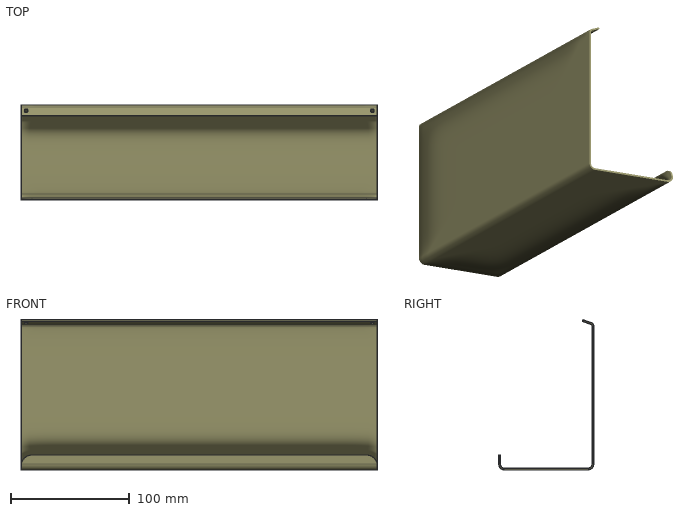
import cadquery as cq
import math

length = 300.0
depth = 80.0
height = 126.5

thickness = 1.5
bend_radius = 5.0

lip_height = 12.5
lip_corner_radius = 9.0

flange_angle = 20.0
flange_depth = 9.5
flange_bend_radius = 2.7

hole_diameter = 3.0
hole_end_distance = 4.2
hole_back_distance = 4.8

slope = math.radians(flange_angle)
back_y = depth / 2
front_y = -depth / 2
bend_turn = math.pi / 2 - slope

bend_y = back_y - flange_bend_radius
bend_rise = flange_bend_radius * math.sin(bend_turn)
bend_run = flange_bend_radius * (1 - math.cos(bend_turn))
flange_rise = (flange_depth - thickness * math.sin(slope) - bend_run) * math.tan(slope)
bend_z = height - flange_rise - bend_rise


def on_flange_bend(radius, angle):
    """Point on the flange bend, with the angle measured from +Y towards +Z."""
    return (bend_y + radius * math.cos(angle), bend_z + radius * math.sin(angle))


def make_sheet():
    """Constant section of back wall, floor, lip and flange, extruded along X."""
    inner_radius = bend_radius - thickness
    inner_flange_radius = flange_bend_radius - thickness
    bend_diagonal = math.sqrt(0.5)
    outer_mid = bend_radius * (1 - bend_diagonal)
    inner_mid = bend_radius - inner_radius * bend_diagonal

    tip_low_y = back_y - flange_depth
    tip_high_y = tip_low_y + thickness * math.sin(slope)
    tip_low_z = height - thickness * math.cos(slope)

    return (
        cq.Workplane("YZ")
        .workplane(offset=-length / 2)
        .moveTo(front_y, lip_height)
        .lineTo(front_y, bend_radius)
        .threePointArc((front_y + outer_mid, outer_mid), (front_y + bend_radius, 0))
        .lineTo(back_y - bend_radius, 0)
        .threePointArc((back_y - outer_mid, outer_mid), (back_y, bend_radius))
        .lineTo(back_y, bend_z)
        .threePointArc(
            on_flange_bend(flange_bend_radius, bend_turn / 2),
            on_flange_bend(flange_bend_radius, bend_turn),
        )
        .lineTo(tip_high_y, height)
        .lineTo(tip_low_y, tip_low_z)
        .lineTo(*on_flange_bend(inner_flange_radius, bend_turn))
        .threePointArc(
            on_flange_bend(inner_flange_radius, bend_turn / 2),
            on_flange_bend(inner_flange_radius, 0),
        )
        .lineTo(back_y - thickness, bend_radius)
        .threePointArc((back_y - inner_mid, inner_mid), (back_y - bend_radius, thickness))
        .lineTo(front_y + bend_radius, thickness)
        .threePointArc((front_y + inner_mid, inner_mid), (front_y + thickness, bend_radius))
        .lineTo(front_y + thickness, lip_height)
        .close()
        .extrude(length)
    )


def make_lip_corner_cutters():
    """Waste outside the rounded upper corners at both ends of the front lip."""
    low_z = lip_height - lip_corner_radius
    mid_offset = lip_corner_radius * (1 - math.sqrt(0.5))
    corner = (
        cq.Workplane("XZ", origin=(0, front_y, 0))
        .moveTo(-length / 2, low_z)
        .threePointArc(
            (-length / 2 + mid_offset, lip_height - mid_offset),
            (-length / 2 + lip_corner_radius, lip_height),
        )
        .lineTo(-length / 2, lip_height)
        .close()
        .extrude(-bend_radius)
    )
    return corner.union(corner.mirror("YZ"))


def make_flange_holes():
    """Cutters for one hole near each end, square to the flange."""
    top_z = bend_z + bend_rise + (hole_back_distance - bend_run) * math.tan(slope)
    start_y = back_y - hole_back_distance + thickness * math.sin(slope)
    start_z = top_z + thickness * math.cos(slope)
    down = cq.Vector(0, -math.sin(slope), -math.cos(slope))
    cutters = cq.Workplane("XY")
    for side in (-1, 1):
        start = cq.Vector(side * (length / 2 - hole_end_distance), start_y, start_z)
        cutters = cutters.add(cq.Solid.makeCylinder(hole_diameter / 2, 3 * thickness, start, down))
    return cutters.combine()


result = make_sheet().cut(make_lip_corner_cutters()).cut(make_flange_holes())